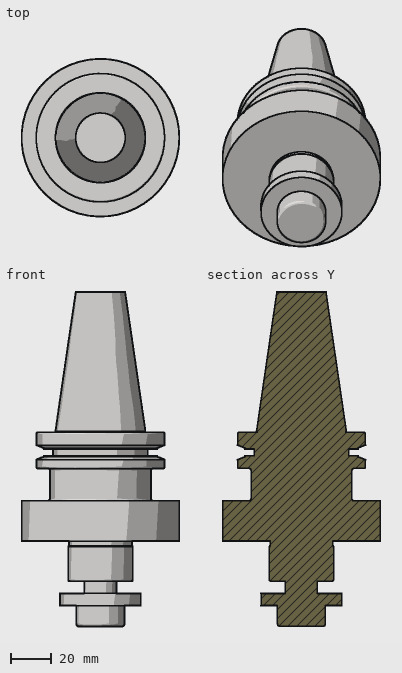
import cadquery as cq
import math

screw_head_dia = 24.0
washer_dia = 40.0
screw_shank_dia = 16.0
pilot_dia = 32.0
pilot_neck_dia = 31.2
drive_flange_dia = 78.0
body_dia = 50.0
grip_flange_dia = 63.5
grip_groove_dia = 46.9
groove_mouth_dia = 56.0
taper_large_dia = 44.5
taper_neck_dia = 43.8
taper_small_dia = 24.5

washer_bottom = 10.4
washer_top = 16.4
pilot_bottom = 22.3
pilot_neck_bottom = 40.0
drive_flange_bottom = 42.1
drive_flange_top = 62.1
grip_flange_bottom = 78.0
groove_bottom = 84.4
groove_top = 87.5
grip_flange_top = 96.0
taper_land_bottom = 96.3
taper_bottom = 96.8
overall_height = 165.2

screw_edge_radius = 1.5
pilot_edge_radius = 1.0
pilot_shoulder_rise = 0.5
grip_edge_radius = 1.0
groove_wall_rise = 1.5
groove_lip_height = 0.5
body_root_radius = 1.0


def turned(bottom, top, bottom_dia, top_dia=None):
    """Solid of revolution about Z: a cylinder, or a cone if top_dia is given."""
    if top_dia is None:
        top_dia = bottom_dia
    profile = [(0, bottom), (bottom_dia / 2, bottom), (top_dia / 2, top), (0, top)]
    return cq.Workplane("XZ").polyline(profile).close().revolve(360, (0, 0, 0), (0, 1, 0))


def spool(bottom, top, dia, root_radius):
    """Cylinder flaring through a concave root radius into the faces at both ends."""
    radius = dia / 2
    flare_radius = radius + root_radius
    mid_arc_radius = flare_radius - root_radius * math.sqrt(0.5)
    mid_arc_rise = root_radius * (1 - math.sqrt(0.5))
    profile = (
        cq.Workplane("XZ")
        .moveTo(0, bottom)
        .lineTo(flare_radius, bottom)
        .threePointArc((mid_arc_radius, bottom + mid_arc_rise), (radius, bottom + root_radius))
        .lineTo(radius, top - root_radius)
        .threePointArc((mid_arc_radius, top - mid_arc_rise), (flare_radius, top))
        .lineTo(0, top)
        .close()
    )
    return profile.revolve(360, (0, 0, 0), (0, 1, 0))


def clamping_screw():
    """Screw head with a rounded lower edge, its washer and its shank."""
    head = turned(0, washer_bottom, screw_head_dia).faces("<Z").fillet(screw_edge_radius)
    washer = turned(washer_bottom, washer_top, washer_dia)
    shank = turned(washer_top, pilot_bottom, screw_shank_dia)
    return head.union(washer).union(shank)


def cutter_seat():
    """Round-edged pilot tapering into a relief neck below the broad drive flange."""
    shoulder_bottom = pilot_neck_bottom - pilot_shoulder_rise
    pilot = turned(pilot_bottom, shoulder_bottom, pilot_dia).faces("<Z").fillet(pilot_edge_radius)
    shoulder = turned(shoulder_bottom, pilot_neck_bottom, pilot_dia, pilot_neck_dia)
    neck = turned(pilot_neck_bottom, drive_flange_bottom, pilot_neck_dia)
    flange = turned(drive_flange_bottom, drive_flange_top, drive_flange_dia)
    return pilot.union(shoulder).union(neck).union(flange)


def grip_flange():
    """Two round-edged rings whose facing bevels end in small lips beside the gripper groove."""
    lower_lip_bottom = groove_bottom - groove_lip_height
    lower_rim_top = lower_lip_bottom - groove_wall_rise
    upper_lip_top = groove_top + groove_lip_height
    upper_rim_bottom = upper_lip_top + groove_wall_rise

    lower = turned(grip_flange_bottom, lower_rim_top, grip_flange_dia)
    lower = lower.faces("<Z").fillet(grip_edge_radius)
    lower_wall = turned(lower_rim_top, lower_lip_bottom, grip_flange_dia, groove_mouth_dia)
    lower_lip = turned(lower_lip_bottom, groove_bottom, groove_mouth_dia)
    floor = turned(groove_bottom, groove_top, grip_groove_dia)
    upper_lip = turned(groove_top, upper_lip_top, groove_mouth_dia)
    upper_wall = turned(upper_lip_top, upper_rim_bottom, groove_mouth_dia, grip_flange_dia)
    upper = turned(upper_rim_bottom, grip_flange_top, grip_flange_dia)
    upper = upper.faces(">Z").fillet(grip_edge_radius)

    lower_ring = lower.union(lower_wall).union(lower_lip)
    upper_ring = upper.union(upper_wall).union(upper_lip)
    return lower_ring.union(floor).union(upper_ring)


def taper_shank():
    """Steep taper with a short straight land, standing on a relief neck."""
    neck = turned(grip_flange_top, taper_land_bottom, taper_neck_dia)
    land = turned(taper_land_bottom, taper_bottom, taper_large_dia)
    taper = turned(taper_bottom, overall_height, taper_large_dia, taper_small_dia)
    return neck.union(land).union(taper)


body = spool(drive_flange_top, grip_flange_bottom, body_dia, body_root_radius)
result = clamping_screw().union(cutter_seat()).union(body).union(grip_flange()).union(taper_shank())